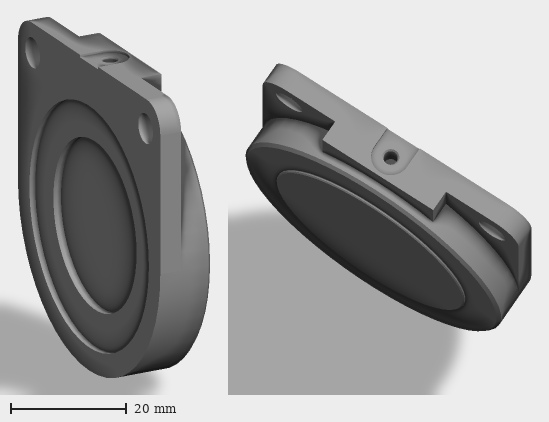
import cadquery as cq

body_diameter = 53.0
body_radius = body_diameter / 2
height = 57.0
total_depth = 10.5
drum_depth = 10.0
drum_chamfer = 0.55

plate_depth = 4.05
corner_radius = 4.95
ear_hole_diameter = 5.5
ear_hole_inset = 5.5

boss_diameter = 39.0
boss_chamfer = 0.2

block_width = 22.95
block_depth = 8.05
port_pocket_width = 6.7
port_pocket_depth = 0.45
port_center_y = 4.05
port_diameter = 2.45
port_length = 4.55
port_chamfer = 0.3

cover_diameter = 44.5
cover_sink = 1.15
cover_thickness = 2.85
cover_recess_diameter = 31.0
cover_recess_depth = 1.5


def disc(diameter, start_y, depth):
    """Disc on the drum axis, running from start_y towards +Y."""
    plane = cq.Workplane("XZ", origin=(0, start_y, body_radius))
    return plane.circle(diameter / 2).extrude(-depth)


def top_block(width, depth):
    """Block from the drum axis up to the top edge."""
    length = height - body_radius
    base = cq.Workplane("XY", origin=(0, 0, body_radius))
    return base.box(width, depth, length, centered=(True, False, False))


def make_plate():
    ears = top_block(body_diameter, plate_depth).edges("|Y and >Z").fillet(corner_radius)
    hole_x = body_radius - ear_hole_inset
    holes = (
        cq.Workplane("XZ", origin=(0, 0, height - ear_hole_inset))
        .pushPoints([(-hole_x, 0), (hole_x, 0)])
        .circle(ear_hole_diameter / 2)
        .extrude(-plate_depth)
    )
    return ears.cut(holes)


def make_port():
    """Round-ended pocket open to the front, with a chamfered blind hole in its floor."""
    floor_z = height - port_pocket_depth
    half_width = port_pocket_width / 2
    pocket = (
        cq.Workplane("XY", origin=(0, 0, floor_z))
        .moveTo(-half_width, 0)
        .lineTo(half_width, 0)
        .lineTo(half_width, port_center_y)
        .threePointArc((0, port_center_y + half_width), (-half_width, port_center_y))
        .close()
        .extrude(port_pocket_depth)
    )
    radius = port_diameter / 2
    hole = (
        cq.Workplane("XZ", origin=(0, port_center_y, floor_z))
        .polyline([
            (0, 0),
            (radius + port_chamfer, 0),
            (radius, -port_chamfer),
            (radius, -port_length),
            (0, -port_length),
        ])
        .close()
        .revolve(360, (0, 0), (0, 1))
    )
    return pocket.union(hole)


def make_housing():
    drum = disc(body_diameter, 0, drum_depth).faces(">Y").chamfer(drum_chamfer)
    boss = disc(boss_diameter, drum_depth, total_depth - drum_depth).faces(">Y").chamfer(boss_chamfer)
    solid = drum.union(boss).union(make_plate()).union(top_block(block_width, block_depth))
    seat = disc(cover_diameter, 0, cover_sink + cover_thickness)
    return solid.cut(make_port()).cut(seat)


def make_cover():
    plate = disc(cover_diameter, cover_sink, cover_thickness)
    recess = disc(cover_recess_diameter, cover_sink, cover_recess_depth)
    return plate.cut(recess)


housing = make_housing()
cover = make_cover()
result = cq.Compound.makeCompound([housing.val(), cover.val()])